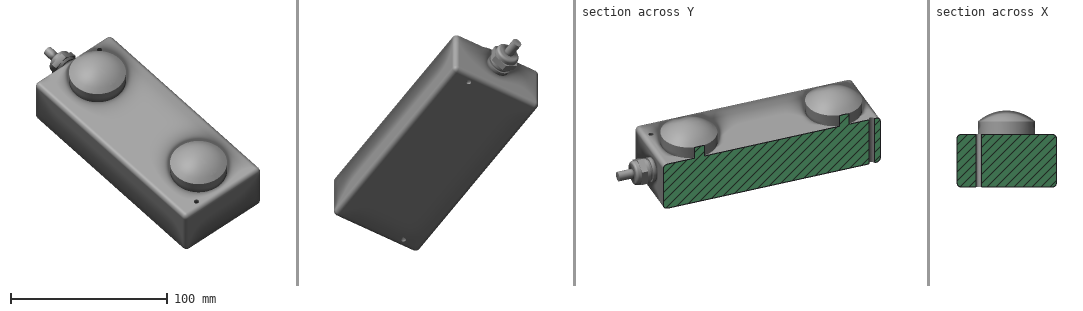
import cadquery as cq
import math

total_length = 174.0
total_height = 49.0

box_length = 150.0
box_width = 64.0
box_height = 34.1
edge_radius = 3.1

button_spacing = 99.9
button_diameter = 36.5
button_rim_height = 8.0

hole_diameter = 3.3
hole_end_inset = 6.1
hole_offset_y = 18.0

gland_axis_z = 19.8
gland_diameter = 15.8
gland_length = 14.0
gland_nose_radius = 1.5
groove_diameter = 13.5
groove_start = 2.6
groove_width = 1.5
hex_flats = 16.4
hex_start = 6.3
hex_width = 4.2
cable_diameter = 6.3

box_end_x = -box_length / 2
cable_length = total_length - box_length


def enclosure():
    """Box with every edge rounded."""
    box = cq.Workplane("XY").box(box_length, box_width, box_height, centered=(True, True, False))
    return box.edges().fillet(edge_radius)


def button(center_x):
    """Short cylinder capped by a spherical dome."""
    radius = button_diameter / 2
    dome_height = total_height - box_height - button_rim_height
    sphere_radius = (radius**2 + dome_height**2) / (2 * dome_height)
    half_angle = math.asin(radius / sphere_radius) / 2
    arc_mid_x = sphere_radius * math.sin(half_angle)
    arc_mid_z = total_height - sphere_radius * (1 - math.cos(half_angle))
    profile = (
        cq.Workplane("XZ")
        .moveTo(0, box_height - edge_radius)
        .lineTo(radius, box_height - edge_radius)
        .lineTo(radius, box_height + button_rim_height)
        .threePointArc((arc_mid_x, arc_mid_z), (0, total_height))
        .close()
    )
    return profile.revolve(360, (0, 0, 0), (0, 1, 0)).translate((center_x, 0, 0))


def gland_plane(distance):
    """Plane across the gland axis, facing away from the box wall."""
    plane = cq.Plane(origin=(box_end_x - distance, 0, gland_axis_z), xDir=(0, 0, 1), normal=(-1, 0, 0))
    return cq.Workplane(plane)


def cable_gland():
    """Round gland with a groove, a hexagon with corners up and down, and the cable."""
    body = gland_plane(0).circle(gland_diameter / 2).extrude(gland_length)
    body = body.faces("<X").edges().fillet(gland_nose_radius)
    groove = (
        gland_plane(groove_start)
        .circle(gland_diameter / 2)
        .circle(groove_diameter / 2)
        .extrude(groove_width)
    )
    hex_corners = hex_flats / math.cos(math.pi / 6)
    hexagon = gland_plane(hex_start).polygon(6, hex_corners).extrude(hex_width)
    cable = gland_plane(0).circle(cable_diameter / 2).extrude(cable_length)
    return body.cut(groove).union(hexagon).union(cable)


def mounting_holes():
    """Through holes at the -X +Y and +X -Y corners."""
    hole_x = box_length / 2 - hole_end_inset
    centers = [(-hole_x, hole_offset_y), (hole_x, -hole_offset_y)]
    return cq.Workplane("XY").pushPoints(centers).circle(hole_diameter / 2).extrude(box_height)


result = enclosure().union(cable_gland())
for side in (-1, 1):
    result = result.union(button(side * button_spacing / 2))
result = result.cut(mounting_holes())